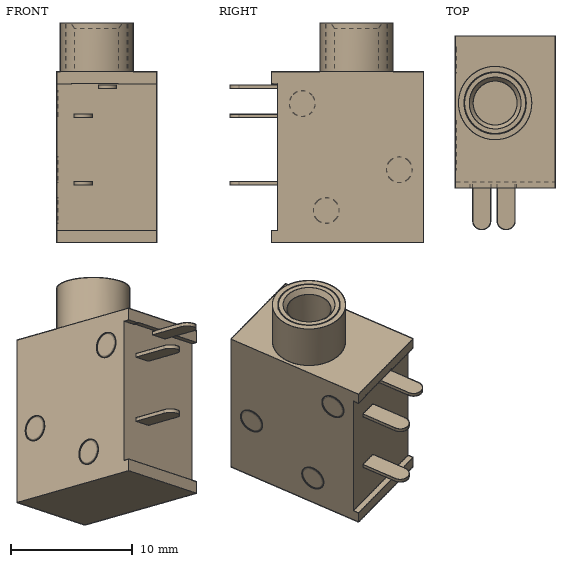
import cadquery as cq
import math

width = 8.2
depth = 12.5
height = 14.0
total_height = 18

lip_height = 1.0
recess_depth = 0.5

relief_width = 3.83
relief_center_x = 3.11
relief_depth = 0.05

barrel_x = 3.28
barrel_from_back = 5.5
barrel_y = depth - barrel_from_back
barrel_radius = 3.0
barrel_height = total_height - height

socket_radius = 2.55
sleeve_gap = 0.05
sleeve_radius = socket_radius - sleeve_gap
sleeve_bore_radius = 1.8
entry_mouth_radius = 2.12
entry_depth = 0.47

disc_places = [(9.95, 2.61), (2.0, 8.03), (8.0, 11.38)]
groove_radius = 1.06
groove_floor_width = 0.02
disc_radius = groove_radius - groove_floor_width
disc_rim_radius = 0.09
groove_depth = disc_rim_radius

terminal_width = 1.5
terminal_thickness = 0.3
terminal_reach = 3.4
near_x = 2.18
far_x = 4.18
terminal_places = [(far_x, 1.22), (near_x, 3.62), (near_x, 9.15)]


def make_housing():
    """Block with recessed front, open barrel and ring grooves."""
    block = cq.Workplane("XY").box(width, depth, height, centered=False)
    barrel_base = cq.Workplane("XY", origin=(barrel_x, barrel_y, height))
    barrel = barrel_base.circle(barrel_radius).extrude(barrel_height)
    socket = barrel_base.circle(socket_radius).extrude(barrel_height)
    front_recess = cq.Workplane("XY", origin=(0, 0, lip_height)).box(
        width, recess_depth, height - 2 * lip_height, centered=False
    )
    lip_relief = cq.Workplane(
        "XY", origin=(relief_center_x - relief_width / 2, 0, height - lip_height)
    ).box(relief_width, recess_depth, relief_depth, centered=False)
    housing = block.union(barrel).cut(front_recess).cut(lip_relief).cut(socket)
    for from_back, below_top in disc_places:
        housing = housing.cut(make_ring_groove(depth - from_back, height - below_top))
    return housing


def make_ring_groove(y, z):
    """Ring revolved about X: straight outer wall, rounded disc rim inside."""
    rim_center = disc_radius - disc_rim_radius
    rim_middle = (
        disc_rim_radius * (1 - math.sqrt(0.5)),
        rim_center + disc_rim_radius * math.sqrt(0.5),
    )
    return (
        cq.Workplane("XY", origin=(0, y, z))
        .moveTo(0, groove_radius)
        .lineTo(groove_depth, groove_radius)
        .lineTo(groove_depth, disc_radius)
        .threePointArc(rim_middle, (0, rim_center))
        .close()
        .revolve(360, (0, 0, 0), (1, 0, 0))
    )


def make_sleeve():
    """Tube with a conical bore entry, revolved about the barrel axis."""
    entry_bottom = barrel_height - entry_depth
    return (
        cq.Workplane("XZ", origin=(barrel_x, barrel_y, height))
        .moveTo(sleeve_bore_radius, 0)
        .lineTo(sleeve_radius, 0)
        .lineTo(sleeve_radius, barrel_height)
        .lineTo(entry_mouth_radius, barrel_height)
        .lineTo(sleeve_bore_radius, entry_bottom)
        .close()
        .revolve(360, (0, 0, 0), (0, 1, 0))
    )


def make_terminal(x, z):
    """Flat blade from the recessed front face out to its half-round tip."""
    half_width = terminal_width / 2
    tip_start = half_width - terminal_reach
    return (
        cq.Workplane("XY", origin=(x, 0, z - terminal_thickness / 2))
        .moveTo(-half_width, recess_depth)
        .lineTo(-half_width, tip_start)
        .threePointArc((0, -terminal_reach), (half_width, tip_start))
        .lineTo(half_width, recess_depth)
        .close()
        .extrude(terminal_thickness)
    )


housing = make_housing()
sleeve = make_sleeve()
terminals = [make_terminal(x, height - below_top) for x, below_top in terminal_places]

result = cq.Compound.makeCompound(
    [housing.val(), sleeve.val(), *[terminal.val() for terminal in terminals]]
)